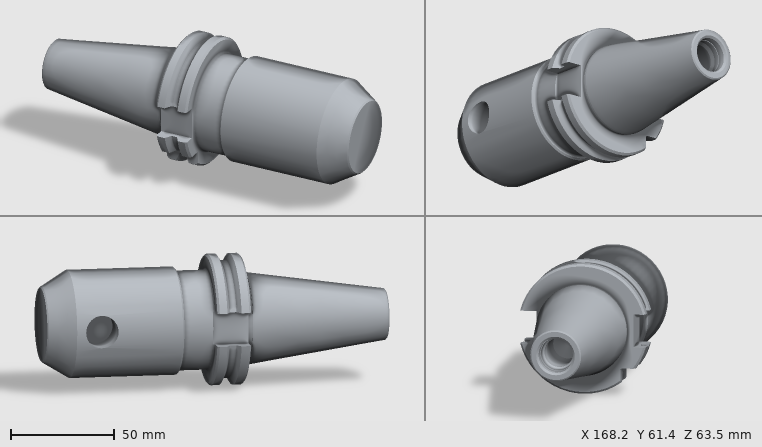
import cadquery as cq
import math

total_length = 168.2
taper_end = 67.5
land_end = 68.5
flange_start = 70.8
flange_end = 87.3
body_start = 102.6
nose_start = 155.1

taper_radius = 22.2
taper_slope = 3.5 / 24
relief_radius = 21.7
flange_diameter = 63.5
flange_radius = flange_diameter / 2
neck_radius = 24.0
body_radius = 26.0
nose_radius = 18.5

small_end_chamfer = 0.59
flange_chamfer = 1.0
root_fillet = 1.0
relief_fillet = 0.5
body_chamfer = 0.8
tip_chamfer = 0.7

groove_center = 79.0
groove_floor_width = 3.0
groove_depth = 3.4
groove_fillet = 0.3
groove_flank_run = groove_depth * math.tan(math.radians(30))

slot_width = 16.2
front_slot_floor = 24.9
rear_slot_floor = 22.5
notch_offset = 18.5
notch_fillet = 1.0

mouth_radius = 9.5
pilot_radius = 8.4
pilot_depth = 4.5
recess_radius = 8.0
recess_depth = 7.4
thread_radius = 7.0
thread_lead_in_angle = 30.0
thread_depth = 32.0
drill_tip_angle = 118.0

screw_station = 142.8
screw_radius = 7.9
screw_depth = 16.8


def turned_body():
    """Revolve the taper, flange, neck, body and nose about the X axis."""
    small_radius = taper_radius - taper_end * taper_slope
    groove_left = groove_center - groove_floor_width / 2
    groove_right = groove_center + groove_floor_width / 2
    groove_radius = flange_radius - groove_depth
    relief_mid = relief_fillet * (1 - math.sqrt(0.5))
    fillet_mid = root_fillet * (1 - math.sqrt(0.5))
    profile = (
        cq.Workplane("XY")
        .lineTo(0, small_radius - small_end_chamfer)
        .lineTo(small_end_chamfer, small_radius + small_end_chamfer * taper_slope)
        .lineTo(taper_end, taper_radius)
        .lineTo(land_end, taper_radius)
        .lineTo(land_end, relief_radius)
        .lineTo(flange_start - relief_fillet, relief_radius)
        .threePointArc(
            (flange_start - relief_mid, relief_radius + relief_mid),
            (flange_start, relief_radius + relief_fillet),
        )
        .lineTo(flange_start, flange_radius - flange_chamfer)
        .lineTo(flange_start + flange_chamfer, flange_radius)
        .lineTo(groove_left - groove_flank_run, flange_radius)
        .lineTo(groove_left, groove_radius)
        .lineTo(groove_right, groove_radius)
        .lineTo(groove_right + groove_flank_run, flange_radius)
        .lineTo(flange_end - flange_chamfer, flange_radius)
        .lineTo(flange_end, flange_radius - flange_chamfer)
        .lineTo(flange_end, neck_radius + root_fillet)
        .threePointArc(
            (flange_end + fillet_mid, neck_radius + fillet_mid),
            (flange_end + root_fillet, neck_radius),
        )
        .lineTo(body_start - root_fillet, neck_radius)
        .threePointArc(
            (body_start - fillet_mid, neck_radius + fillet_mid),
            (body_start, neck_radius + root_fillet),
        )
        .lineTo(body_start, body_radius - body_chamfer)
        .lineTo(body_start + body_chamfer, body_radius)
        .lineTo(nose_start, body_radius)
        .lineTo(total_length - tip_chamfer, nose_radius)
        .lineTo(total_length, nose_radius - tip_chamfer)
        .lineTo(total_length, 0)
        .close()
    )
    turned = profile.revolve(360, (0, 0, 0), (1, 0, 0))
    groove_corners = cq.selectors.BoxSelector(
        (groove_left - groove_fillet / 2, -1.7, -1.7),
        (groove_right + groove_fillet / 2, 1.7, 1.7),
    )
    return turned.edges(groove_corners).fillet(groove_fillet)


def pull_stud_bore():
    """Chamfered pilot, shallow recess, threaded hole at its root diameter, conical drill tip."""
    thread_lead_in = (recess_radius - thread_radius) / math.tan(math.radians(thread_lead_in_angle))
    tip_length = thread_radius / math.tan(math.radians(drill_tip_angle / 2))
    profile = (
        cq.Workplane("XY")
        .lineTo(0, mouth_radius)
        .lineTo(mouth_radius - pilot_radius, pilot_radius)
        .lineTo(pilot_depth, pilot_radius)
        .lineTo(pilot_depth, recess_radius)
        .lineTo(recess_depth, recess_radius)
        .lineTo(recess_depth + thread_lead_in, thread_radius)
        .lineTo(thread_depth, thread_radius)
        .lineTo(thread_depth + tip_length, 0)
        .close()
    )
    return profile.revolve(360, (0, 0, 0), (1, 0, 0))


def drive_slot(side, floor):
    """Square slot across the flange and neck root fillet on the given side of Y (+1 or -1)."""
    length = flange_end + root_fillet - flange_start
    depth = flange_radius - floor
    center = (flange_start + length / 2, side * (floor + depth / 2), 0)
    return cq.Workplane("XY").box(length, depth, slot_width).translate(center)


def orientation_notch():
    """Square notch through the flange rim in the -Y, -Z quadrant."""
    length = flange_end - flange_start
    size = flange_radius - notch_offset
    center_offset = -(notch_offset + size / 2)
    block = cq.Workplane("XY").box(length, size, size).edges(">Y and >Z").fillet(notch_fillet)
    return block.translate((flange_start + length / 2, center_offset, center_offset))


def screw_hole():
    """Radial hole in the body for the clamping screw."""
    start = cq.Vector(screw_station, body_radius, 0)
    return cq.Workplane(cq.Solid.makeCylinder(screw_radius, screw_depth, start, cq.Vector(0, -1, 0)))


result = (
    turned_body()
    .cut(pull_stud_bore())
    .cut(drive_slot(-1, front_slot_floor))
    .cut(drive_slot(1, rear_slot_floor))
    .cut(orientation_notch())
    .cut(screw_hole())
)